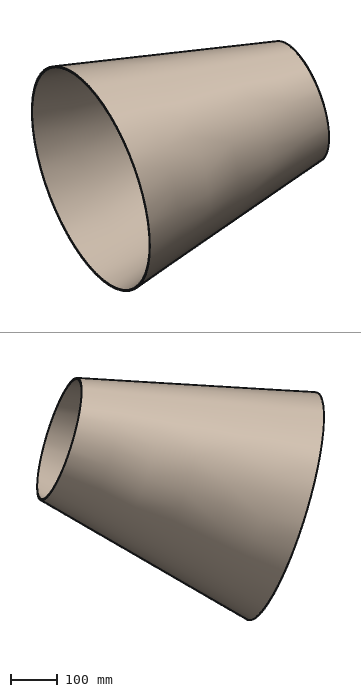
import cadquery as cq

length = 508.0
large_outer_diameter = 508.0
small_outer_diameter = 273.0
wall = 3.0

large_outer_radius = large_outer_diameter / 2
small_outer_radius = small_outer_diameter / 2

wall_section = [
    (large_outer_radius - wall, 0),
    (large_outer_radius, 0),
    (small_outer_radius, length),
    (small_outer_radius - wall, length),
]

result = cq.Workplane("XY").polyline(wall_section).close().revolve(360, (0, 0, 0), (0, 1, 0))